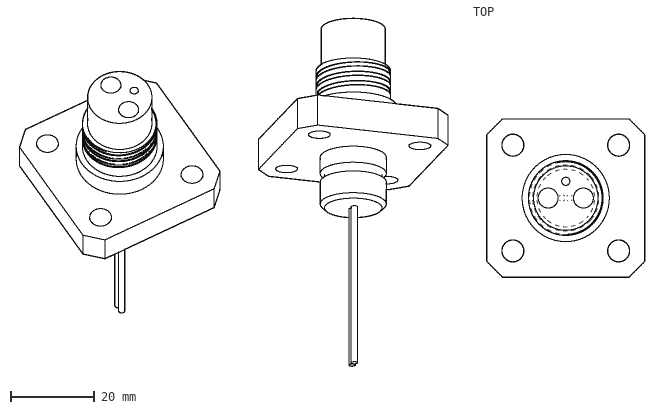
import cadquery as cq
import math

FLANGE_SIDE = 38.1
FLANGE_THICKNESS = 7.7
CORNER_CHAMFER = 3.85
MOUNTING_HOLE_DIAMETER = 5.2
MOUNTING_HOLE_SPACING = 25.45

COLLAR_DIAMETER = 21.0
COLLAR_HEIGHT = 5.2
THREAD_DIAMETER = 18.0
THREAD_SECTION_HEIGHT = 9.25
PLUG_DIAMETER = 15.5
OVERALL_HEIGHT = 85.7

THREAD_PITCH = 2.4
THREAD_GROOVE_WIDTH = 1.0
THREAD_GROOVE_DEPTH = 0.25
THREAD_START_HEIGHT = 2.5
THREAD_START_ANGLE = 90.0

SOCKET_DIAMETER = 4.8
SOCKET_SPACING = 8.5
SOCKET_DEPTH = 10.3
KEY_HOLE_DIAMETER = 2.0
KEY_HOLE_OFFSET = 4.0
KEY_HOLE_DEPTH = 4.3

TAIL_DIAMETER = 15.9
TAIL_LENGTH = 12.9
RING_GROOVE_DIAMETER = 13.9
RING_GROOVE_WIDTH = 2.2
RING_GROOVE_FILLET = 0.25
RING_GROOVE_TOP = 4.1
TAIL_CHAMFER = (TAIL_DIAMETER - RING_GROOVE_DIAMETER) / 2

WIRE_DIAMETER = 1.5
WIRE_SPACING = 1.8
WIRE_LENGTH = 39.9

collar_top = FLANGE_THICKNESS + COLLAR_HEIGHT
shoulder_top = collar_top + THREAD_SECTION_HEIGHT
plug_top = OVERALL_HEIGHT - TAIL_LENGTH - WIRE_LENGTH


def cylinder(diameter, bottom, top):
    return cq.Workplane("XY").workplane(offset=bottom).circle(diameter / 2).extrude(top - bottom)


def make_flange():
    return (
        cq.Workplane("XY")
        .rect(FLANGE_SIDE, FLANGE_SIDE)
        .extrude(FLANGE_THICKNESS)
        .edges("|Z")
        .chamfer(CORNER_CHAMFER)
        .faces(">Z")
        .workplane()
        .rect(MOUNTING_HOLE_SPACING, MOUNTING_HOLE_SPACING, forConstruction=True)
        .vertices()
        .hole(MOUNTING_HOLE_DIAMETER)
    )


def make_thread_turn():
    clearance = 0.4
    root_radius = THREAD_DIAMETER / 2 - THREAD_GROOVE_DEPTH
    path = cq.Wire.makeHelix(THREAD_PITCH, THREAD_PITCH, root_radius)
    cutter = (
        cq.Workplane("XZ")
        .center(root_radius + (THREAD_GROOVE_DEPTH + clearance) / 2, 0)
        .rect(THREAD_GROOVE_DEPTH + clearance, THREAD_GROOVE_WIDTH)
        .sweep(cq.Workplane(obj=path), isFrenet=True)
    )
    return (
        cutter.rotate((0, 0, 0), (0, 0, 1), THREAD_START_ANGLE)
        .translate((0, 0, collar_top + THREAD_START_HEIGHT))
    )


def make_threaded_section():
    section = cylinder(THREAD_DIAMETER, collar_top, shoulder_top)
    run_out_rise = THREAD_SECTION_HEIGHT - THREAD_START_HEIGHT + THREAD_GROOVE_WIDTH / 2
    one_turn = make_thread_turn()
    for turn in range(math.ceil(run_out_rise / THREAD_PITCH)):
        section = section.cut(one_turn.translate((0, 0, turn * THREAD_PITCH)))
    return section


def make_plug():
    sockets = (
        cq.Workplane("XY")
        .workplane(offset=plug_top)
        .pushPoints([(-SOCKET_SPACING / 2, 0), (SOCKET_SPACING / 2, 0)])
        .circle(SOCKET_DIAMETER / 2)
        .extrude(-SOCKET_DEPTH)
    )
    key_hole = cylinder(KEY_HOLE_DIAMETER, plug_top - KEY_HOLE_DEPTH, plug_top)
    plug = cylinder(PLUG_DIAMETER, FLANGE_THICKNESS, plug_top)
    return plug.cut(sockets).cut(key_hole.translate((0, KEY_HOLE_OFFSET, 0)))


def make_tail():
    tail = cylinder(TAIL_DIAMETER, -TAIL_LENGTH, 0).faces("<Z").chamfer(TAIL_CHAMFER)
    groove_bottom = -RING_GROOVE_TOP - RING_GROOVE_WIDTH
    ring = cylinder(TAIL_DIAMETER, groove_bottom, -RING_GROOVE_TOP)
    ring = ring.cut(cylinder(RING_GROOVE_DIAMETER, groove_bottom, -RING_GROOVE_TOP))
    ring = ring.edges(cq.selectors.RadiusNthSelector(0)).fillet(RING_GROOVE_FILLET)
    return tail.cut(ring)


def make_wires():
    return (
        cq.Workplane("XY")
        .workplane(offset=-TAIL_LENGTH)
        .pushPoints([(-WIRE_SPACING / 2, 0), (WIRE_SPACING / 2, 0)])
        .circle(WIRE_DIAMETER / 2)
        .extrude(-WIRE_LENGTH)
    )


collar = cylinder(COLLAR_DIAMETER, FLANGE_THICKNESS, collar_top)

result = (
    make_flange()
    .union(collar)
    .union(make_threaded_section())
    .union(make_plug())
    .union(make_tail())
    .union(make_wires())
)